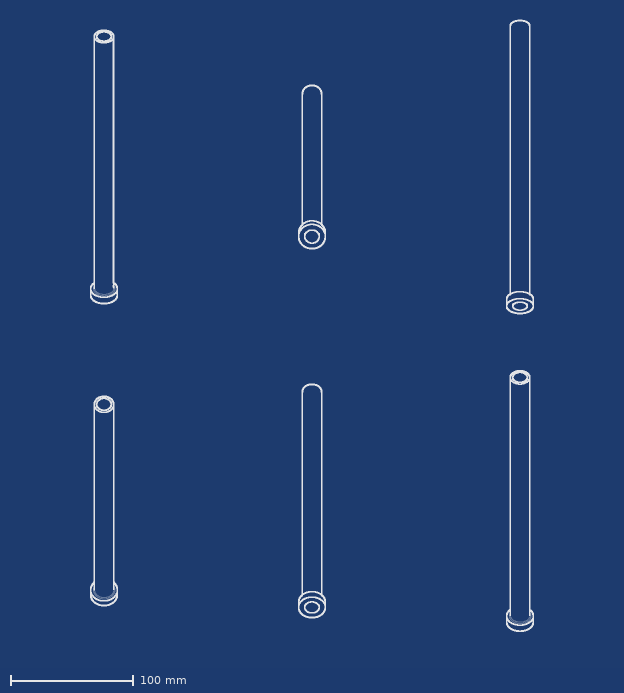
import cadquery as cq

total_length = 275.0
head_diameter = 22.0
head_height = 7.0
tube_diameter = 16.0
bore_diameter = 11.8
neck_fillet = 0.8


def cylinder(diameter, height):
    """Upright cylinder standing on the underside of the head."""
    return cq.Workplane("XY").circle(diameter / 2).extrude(height)


body = cylinder(head_diameter, head_height).union(cylinder(tube_diameter, total_length))

smallest_radius = cq.selectors.RadiusNthSelector(0)
body = body.faces("<Z[1]").edges(smallest_radius).fillet(neck_fillet)

result = body.cut(cylinder(bore_diameter, total_length))